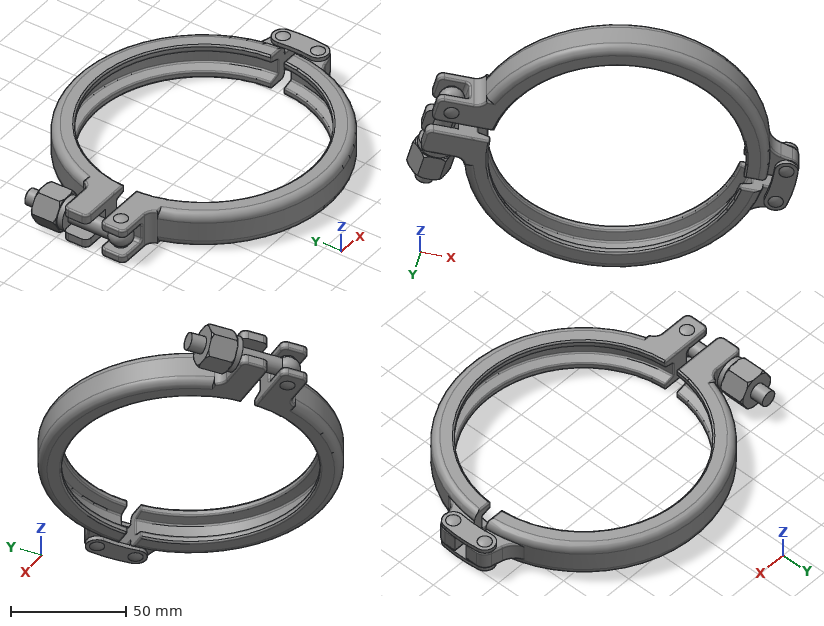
import cadquery as cq
import math

RING_RADIUS = 66.3
BORE_RADIUS = 56.1
RING_HEIGHT = 17.7
HALF_HEIGHT = RING_HEIGHT / 2
RIM_ROUND = 4.0
EDGE_ROUND = 0.8
SECTION_END_ROUND = 0.5

GROOVE_RADIUS = 61.4
GROOVE_MOUTH_HALF = 5.5
GROOVE_FLOOR_HALF = 4.0

GAP_HALF = 3.3

PIN_Y = 9.3
PIN_RADIUS = 3.3
DOME_HEIGHT = 0.8
DOME_RADIUS = (PIN_RADIUS**2 + DOME_HEIGHT**2) / (2 * DOME_HEIGHT)
HINGE_PIN_X = 73.5

EAR_OUTER_Y = 16.0
EAR_END_X = -84.0
EAR_CORNER = 2.8
EAR_BLEND = 5.0
SLOT_END_X = -70.2
UPPER_SLOT_HALF = 4.3
LOWER_SLOT_HALF = 4.8
LOWER_SLOT_CORNER = 1.7

LUG_HALF = 4.6
LUG_END_RADIUS = 5.5
LUG_BLEND = 10.0
LUG_NORMAL = 75.5
LINK_END_RADIUS = 5.1
LINK_THICKNESS = 2.0
LINK_HALF = LUG_HALF + LINK_THICKNESS

BOLT_X = -76.5
SHANK_RADIUS = 4.0
SHANK_END_Y = 38.7
EYE_RADIUS = 5.8
EYE_HALF = 4.6
WASHER_RADIUS = 8.1
WASHER_THICKNESS = 2.8
NUT_ACROSS_CORNERS = 19.7
NUT_START_Y = EAR_OUTER_Y + WASHER_THICKNESS
NUT_HEIGHT = 12.9
NUT_CHAMFER = 1.0

ROOT_RADIUS = (RING_RADIUS - RIM_ROUND + GROOVE_RADIUS) / 2


def circle_blend(normal_angle, offset, radius, side):
    """Concave arc joining the ring to a line lying `offset` from the ring centre.

    The line's normal points along `normal_angle`, in degrees. The arc sits at the
    left end of the line for `side` = +1 and at the right end for -1, looking
    outwards along the normal. Returns its line end, middle and ring end.
    """
    normal_x = math.cos(math.radians(normal_angle))
    normal_y = math.sin(math.radians(normal_angle))
    along = side * math.sqrt((RING_RADIUS + radius) ** 2 - (offset + radius) ** 2)
    center_x = normal_x * (offset + radius) - normal_y * along
    center_y = normal_y * (offset + radius) + normal_x * along
    line_end = (center_x - normal_x * radius, center_y - normal_y * radius)
    ring_share = RING_RADIUS / (RING_RADIUS + radius)
    ring_end = (center_x * ring_share, center_y * ring_share)
    chord_x = (line_end[0] + ring_end[0]) / 2 - center_x
    chord_y = (line_end[1] + ring_end[1]) / 2 - center_y
    reach = radius / math.hypot(chord_x, chord_y)
    middle = (center_x + chord_x * reach, center_y + chord_y * reach)
    return line_end, middle, ring_end


def slab(outline, half_height):
    """Closed XY outline extruded equally above and below the XY plane."""
    return outline.close().extrude(half_height, both=True)


def upright(x, y, radius, half_height):
    """Cylinder along Z, centred on the XY plane."""
    return cq.Workplane().center(x, y).circle(radius).extrude(half_height, both=True)


def without_root(body):
    """Body trimmed back to where it is buried in the ring section."""
    return body.cut(upright(0, 0, ROOT_RADIUS, HALF_HEIGHT))


def ring_section():
    """Half section of the grooved ring, as radius against height, with rounded corners."""
    outline = [
        (RING_RADIUS, -HALF_HEIGHT),
        (RING_RADIUS, HALF_HEIGHT),
        (BORE_RADIUS, HALF_HEIGHT),
        (BORE_RADIUS, GROOVE_MOUTH_HALF),
        (GROOVE_RADIUS, GROOVE_FLOOR_HALF),
        (GROOVE_RADIUS, -GROOVE_FLOOR_HALF),
        (BORE_RADIUS, -GROOVE_MOUTH_HALF),
        (BORE_RADIUS, -HALF_HEIGHT),
        (RING_RADIUS, -HALF_HEIGHT),
    ]
    floor_corners = cq.selectors.BoxSelector(
        (GROOVE_RADIUS - EDGE_ROUND, -HALF_HEIGHT, -EDGE_ROUND),
        (GROOVE_RADIUS + EDGE_ROUND, HALF_HEIGHT, EDGE_ROUND),
    )
    section = cq.Sketch().polygon(outline)
    section = section.vertices(floor_corners).fillet(EDGE_ROUND).reset()
    section = section.vertices("<X").fillet(EDGE_ROUND).reset()
    return section.vertices(">X").fillet(RIM_ROUND).reset()


def ring_half():
    """Upper half of the grooved ring, with softened ends."""
    ring = cq.Workplane("XZ").placeSketch(ring_section()).revolve(360, (0, 0, 0), (0, 1, 0))
    envelope = (
        cq.Workplane()
        .box(3 * RING_RADIUS, 2 * RING_RADIUS, RING_HEIGHT)
        .translate((0, GAP_HALF + RING_RADIUS, 0))
        .edges("|X and <Y")
        .fillet(EDGE_ROUND)
    )
    return ring.intersect(envelope)


def ear(slot_half, rounded_slot):
    """Upper half's ear, blended into the ring and slotted from its free end."""
    line_end, middle, ring_end = circle_blend(90, EAR_OUTER_Y, EAR_BLEND, 1)
    outline = (
        cq.Workplane()
        .moveTo(-BORE_RADIUS, GAP_HALF)
        .lineTo(EAR_END_X, GAP_HALF)
        .lineTo(EAR_END_X, EAR_OUTER_Y)
        .lineTo(*line_end)
        .threePointArc(middle, ring_end)
        .lineTo(-BORE_RADIUS, ring_end[1])
    )
    body = slab(outline, HALF_HEIGHT)
    body = body.edges("|Z and <X").fillet(EAR_CORNER)
    body = body.faces("|Z").edges().fillet(EDGE_ROUND)
    slot_length = SLOT_END_X - EAR_END_X
    slot = cq.Workplane().box(slot_length, 2 * EAR_OUTER_Y, 2 * slot_half)
    slot = slot.translate((SLOT_END_X - slot_length / 2, EAR_OUTER_Y, 0))
    if not rounded_slot:
        return without_root(body.cut(slot))
    body = body.cut(slot.edges("|Y and >X").fillet(LOWER_SLOT_CORNER))
    reach_z = slot_half + EDGE_ROUND
    slot_edges = cq.selectors.BoxSelector(
        (EAR_END_X - EDGE_ROUND, 0, -reach_z),
        (SLOT_END_X + EDGE_ROUND, 2 * EAR_OUTER_Y, reach_z),
    )
    inner_edges = cq.selectors.BoxSelector(
        (SLOT_END_X - 2 * LOWER_SLOT_CORNER, GAP_HALF + EDGE_ROUND, -reach_z),
        (SLOT_END_X + EDGE_ROUND, EAR_OUTER_Y - EDGE_ROUND, reach_z),
    )
    body = body.edges(slot_edges - inner_edges).fillet(EDGE_ROUND)
    return without_root(body)


def lug():
    """Upper half's hinge lug, rounded about its pin and blended into the ring."""
    normal_x = math.cos(math.radians(LUG_NORMAL))
    normal_y = math.sin(math.radians(LUG_NORMAL))
    offset = HINGE_PIN_X * normal_x + PIN_Y * normal_y + LUG_END_RADIUS
    line_end, middle, ring_end = circle_blend(LUG_NORMAL, offset, LUG_BLEND, -1)
    end_x = HINGE_PIN_X + LUG_END_RADIUS
    round_end = (HINGE_PIN_X + LUG_END_RADIUS * normal_x, PIN_Y + LUG_END_RADIUS * normal_y)
    outline = (
        cq.Workplane()
        .moveTo(BORE_RADIUS, GAP_HALF)
        .lineTo(end_x, GAP_HALF)
        .lineTo(end_x, PIN_Y)
        .tangentArcPoint(round_end, relative=False)
        .lineTo(*line_end)
        .threePointArc(middle, ring_end)
        .lineTo(BORE_RADIUS, ring_end[1])
    )
    body = slab(outline, LUG_HALF).faces("|Z").edges().fillet(EDGE_ROUND)
    return without_root(body)


def domed_pin(x, y, half_height):
    """Pin along Z with a shallow dome on each end, standing proud of `half_height`."""
    pin = upright(x, y, PIN_RADIUS, half_height)
    dome = (
        cq.Workplane("XZ")
        .moveTo(0, half_height)
        .lineTo(PIN_RADIUS, half_height)
        .radiusArc((0, half_height + DOME_HEIGHT), -DOME_RADIUS)
        .close()
        .revolve(360, (0, 0, 0), (0, 1, 0))
        .translate((x, y, 0))
    )
    return pin.union(dome).union(dome.mirror("XY"))


def hinge_link():
    """Pair of link plates, curved about the ring centre, riveted by two pins."""
    pin_reach = math.hypot(HINGE_PIN_X, PIN_Y)
    outer = pin_reach + LINK_END_RADIUS
    inner = pin_reach - LINK_END_RADIUS
    cos_pin = HINGE_PIN_X / pin_reach
    sin_pin = PIN_Y / pin_reach
    link = slab(
        cq.Workplane()
        .moveTo(inner * cos_pin, -inner * sin_pin)
        .threePointArc((inner, 0), (inner * cos_pin, inner * sin_pin))
        .lineTo(outer * cos_pin, outer * sin_pin)
        .threePointArc((outer, 0), (outer * cos_pin, -outer * sin_pin)),
        LINK_HALF,
    )
    for y in (-PIN_Y, PIN_Y):
        link = link.union(upright(HINGE_PIN_X, y, LINK_END_RADIUS, LINK_HALF))
    link = link.cut(cq.Workplane().box(4 * RING_RADIUS, 4 * RING_RADIUS, 2 * LUG_HALF))
    for y in (-PIN_Y, PIN_Y):
        link = link.union(domed_pin(HINGE_PIN_X, y, LINK_HALF))
    return link


def clamp_half(slot_half, rounded_slot):
    """Ring half with its ear and lug, softened where the bore and groove meet the gap."""
    half = ring_half().union(ear(slot_half, rounded_slot)).union(lug())
    reach_z = HALF_HEIGHT - EDGE_ROUND
    reach_x = GROOVE_RADIUS + EDGE_ROUND
    groove_ends = cq.selectors.BoxSelector((-reach_x, 0, -reach_z), (reach_x, 2 * GAP_HALF, reach_z))
    return half.faces("<Y").edges(groove_ends).fillet(SECTION_END_ROUND)


def upper_half():
    """Clamp half on the nut side, bored for the hinge pin."""
    half = clamp_half(UPPER_SLOT_HALF, False)
    return half.cut(upright(HINGE_PIN_X, PIN_Y, PIN_RADIUS, LUG_HALF))


def lower_half():
    """Clamp half bored for the swing bolt's pin, with the hinge link fixed to its lug."""
    half = clamp_half(LOWER_SLOT_HALF, True)
    half = half.cut(upright(BOLT_X, PIN_Y, PIN_RADIUS, HALF_HEIGHT))
    return half.mirror("XZ").union(hinge_link())


def along_y(outline, start_y, length):
    """Bolt-axis outline extruded towards +Y from `start_y`."""
    return outline.extrude(-length).translate((BOLT_X, start_y, 0))


def nut():
    """Hexagon nut with its corners turned down at both ends."""
    hexagon = along_y(cq.Workplane("XZ").polygon(6, NUT_ACROSS_CORNERS), NUT_START_Y, NUT_HEIGHT)
    turned = along_y(cq.Workplane("XZ").circle(NUT_ACROSS_CORNERS / 2), NUT_START_Y, NUT_HEIGHT)
    return hexagon.intersect(turned.edges().chamfer(NUT_CHAMFER))


def swing_bolt():
    """Eye bolt with its pin, washer and nut."""
    eye = (
        cq.Workplane("XZ")
        .moveTo(0, -EYE_HALF)
        .lineTo(EYE_RADIUS - EYE_HALF, -EYE_HALF)
        .threePointArc((EYE_RADIUS, 0), (EYE_RADIUS - EYE_HALF, EYE_HALF))
        .lineTo(0, EYE_HALF)
        .close()
        .revolve(360, (0, 0, 0), (0, 1, 0))
        .translate((BOLT_X, -PIN_Y, 0))
    )
    shank = along_y(cq.Workplane("XZ").circle(SHANK_RADIUS), -PIN_Y, SHANK_END_Y + PIN_Y)
    washer = along_y(cq.Workplane("XZ").circle(WASHER_RADIUS), EAR_OUTER_Y, WASHER_THICKNESS)
    pin = domed_pin(BOLT_X, -PIN_Y, HALF_HEIGHT)
    return eye.union(shank).union(pin).union(washer).union(nut())


result = cq.Compound.makeCompound([upper_half().val(), lower_half().val(), swing_bolt().val()])